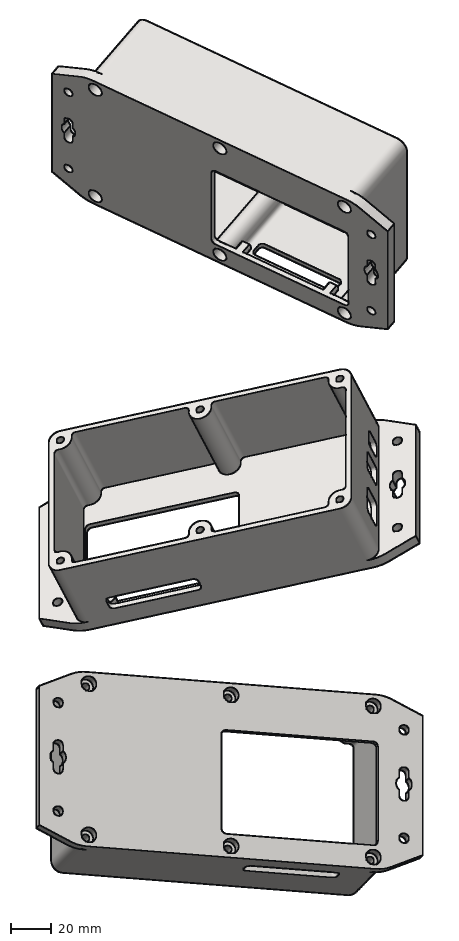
import cadquery as cq

LENGTH = 197.0
DEPTH = 48.3
HEIGHT = 90.0

PLATE_THICKNESS = 6.1
PLATE_END_HEIGHT = 72.0
PLATE_SHOULDER_LENGTH = 157.2
PLATE_SHOULDER_RADIUS = 19.7

BODY_LENGTH = 158.4
BODY_CORNER_RADIUS = 6.1
WALL = 3.0
PANEL_THICKNESS = 3.0

SCREW_X = 73.0
SCREW_Z = 39.0
BOSS_RADIUS = 6.0
BOSS_FILLET = 2.2
SCREW_BORE = 4.0
SCREW_CLEARANCE = 7.7

MOUNT_X = 88.8
MOUNT_Z = 28.0
MOUNT_HOLE = 5.0
KEYHOLE_HEAD = 8.0
KEYHOLE_LENGTH = 17.3

WINDOW_LEFT = -5.0
WINDOW_LENGTH = 80.4
WINDOW_BOTTOM = -32.9
WINDOW_HEIGHT = 53.5
WINDOW_CORNER_RADIUS = 2.5
WINDOW_X = WINDOW_LEFT + WINDOW_LENGTH / 2

POST_SPACING = 51.2
POST_Z = -35.0
POST_RADIUS = 3.0
POST_END = 9.0

PORT_START = 9.5
PORTS = [
    (16.4, 9.5, 12.2, 2.5),
    (-1.4, 11.5, 14.5, 1.8),
    (-28.2, 15.5, 14.5, 2.4),
]

SLOT_Y = 16.0
SLOT_LENGTH = 48.0
SLOT_WIDTH = 8.7
SLOT_CORNER_RADIUS = 2.4

SCREW_POINTS = [(x, z) for x in (-SCREW_X, 0, SCREW_X) for z in (-SCREW_Z, SCREW_Z)]
MOUNT_POINTS = [(x, z) for x in (-MOUNT_X, MOUNT_X) for z in (-MOUNT_Z, MOUNT_Z)]
KEYHOLE_POINTS = [(-MOUNT_X, 0), (MOUNT_X, 0)]


def section_at(y):
    """XZ sketch plane at depth y."""
    return cq.Workplane("XZ", origin=(0, y, 0))


def prism(sketch, length):
    """Extrude an XZ sketch toward +Y."""
    return sketch.extrude(-length)


def cylinders(points, radius, start, end):
    """Cylinders along Y between two depths, one at each (X, Z) point."""
    return prism(section_at(start).pushPoints(points).circle(radius), end - start)


def mounting_plate():
    half_length = LENGTH / 2
    half_shoulder = PLATE_SHOULDER_LENGTH / 2
    half_height = HEIGHT / 2
    half_end = PLATE_END_HEIGHT / 2
    outline = section_at(0).polyline([
        (-half_length, -half_end),
        (-half_shoulder, -half_height),
        (half_shoulder, -half_height),
        (half_length, -half_end),
        (half_length, half_end),
        (half_shoulder, half_height),
        (-half_shoulder, half_height),
        (-half_length, half_end),
    ]).close()
    plate = prism(outline, PLATE_THICKNESS)
    return plate.edges("|Y and (not (<X or >X))").fillet(PLATE_SHOULDER_RADIUS)


def body():
    block = prism(section_at(PLATE_THICKNESS).rect(BODY_LENGTH, HEIGHT), DEPTH - PLATE_THICKNESS)
    return block.edges("|Y").fillet(BODY_CORNER_RADIUS)


def cavity():
    """Inside of the body, leaving the screw bosses blended into the walls."""
    room_section = section_at(PANEL_THICKNESS).rect(BODY_LENGTH - 2 * WALL, HEIGHT - 2 * WALL)
    room = prism(room_section, DEPTH - PANEL_THICKNESS)
    bosses = cylinders(SCREW_POINTS, BOSS_RADIUS, PANEL_THICKNESS, DEPTH)
    return room.cut(bosses).edges("|Y").fillet(BOSS_FILLET)


def window_posts():
    centers = [(WINDOW_X + side * POST_SPACING / 2, POST_Z) for side in (-1, 1)]
    return cylinders(centers, POST_RADIUS, 0, POST_END)


def screw_holes():
    bores = cylinders(SCREW_POINTS, SCREW_BORE / 2, 0, DEPTH)
    clearances = cylinders(SCREW_POINTS, SCREW_CLEARANCE / 2, 0, PLATE_THICKNESS)
    return bores.union(clearances)


def mounting_holes():
    holes = cylinders(MOUNT_POINTS, MOUNT_HOLE / 2, 0, PLATE_THICKNESS)
    heads = cylinders(KEYHOLE_POINTS, KEYHOLE_HEAD / 2, 0, PLATE_THICKNESS)
    slot_section = section_at(0).pushPoints(KEYHOLE_POINTS).slot2D(KEYHOLE_LENGTH, MOUNT_HOLE, 90)
    return holes.union(heads).union(prism(slot_section, PLATE_THICKNESS))


def window():
    """Window opening, deep enough to trim the posts behind it."""
    opening = cq.Workplane("XY").box(WINDOW_LENGTH, POST_END, WINDOW_HEIGHT, centered=False)
    opening = opening.edges("|Y").fillet(WINDOW_CORNER_RADIUS)
    return opening.translate((WINDOW_LEFT, 0, WINDOW_BOTTOM))


def port(bottom, height, width, corner_radius):
    opening = cq.Workplane("XY").box(WALL, width, height, centered=False)
    opening = opening.edges("|X").fillet(corner_radius)
    return opening.translate((-BODY_LENGTH / 2, PORT_START, bottom))


def wall_slot():
    outer_face = cq.Workplane("XY", origin=(WINDOW_X, SLOT_Y, -HEIGHT / 2))
    slot = outer_face.rect(SLOT_LENGTH, SLOT_WIDTH).extrude(WALL)
    return slot.edges("|Z").fillet(SLOT_CORNER_RADIUS)


result = mounting_plate().union(body()).cut(cavity()).union(window_posts())
result = result.cut(screw_holes()).cut(mounting_holes()).cut(window()).cut(wall_slot())
for bottom, height, width, corner_radius in PORTS:
    result = result.cut(port(bottom, height, width, corner_radius))